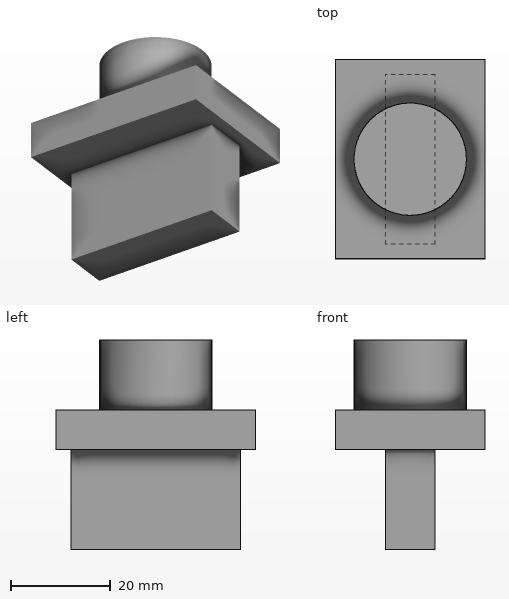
import cadquery as cq

total_height = 42.0
plate_width = 30.0
plate_length = 40.0
plate_thickness = 8.0
tongue_width = 10.0
tongue_length = 34.0
tongue_height = 20.0
boss_diameter = 22.5

boss_height = total_height - tongue_height - plate_thickness

tongue = cq.Workplane("XY").rect(tongue_width, tongue_length).extrude(tongue_height)

plate = tongue.faces(">Z").workplane().rect(plate_width, plate_length).extrude(plate_thickness)

result = plate.faces(">Z").workplane().circle(boss_diameter / 2).extrude(boss_height)